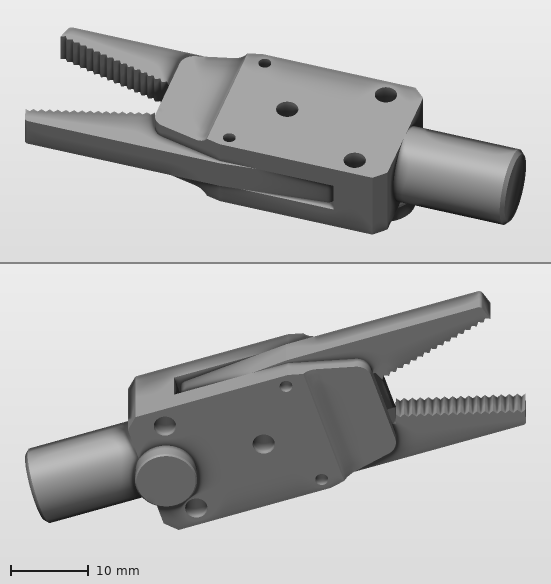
import cadquery as cq
import math


total_length = 64.0
housing_height = 10.0
housing_width = 18.0
housing_front_x = 16.9
housing_rear_x = 49.1
nose_width = 13.1
shoulder_x = 26.9
nose_corner_radius = 2.0
rear_corner_chamfer = 1.55
step_x = 24.95
step_depth = 0.95
step_radius = 2.0

slot_height = 4.15
slot_end_x = 42.3
block_front_x = 17.85
block_length = 20.5
block_width = 7.95

pivot_hole_diameter = 1.65
pivot_hole_x = 27.65
pivot_hole_y = 7.4
center_hole_diameter = 2.9
center_hole_x = 33.1
mount_hole_diameter = 2.9
mount_hole_x = 44.35
mount_hole_y = 6.5

shank_diameter = housing_height
shank_chamfer = 0.5

jaw_span = 18.9
jaw_thickness = 4.0
jaw_inner_y = 4.1
jaw_end_x = 42.0
jaw_bend_x = 27.0
jaw_tail_angle = 5.3
first_tooth_y = 7.3
rack_angle = 15.5
tooth_count = 17
tooth_pitch = 1.045
tooth_depth = 0.45
rack_end_x = 16.6
tip_radius = 0.5
tail_radius = 0.95
jaw_hole_diameter = 2.05
jaw_hole_x = 26.75
jaw_hole_y = 6.5

foot_diameter = 8.0
foot_height = 2.5
foot_x = 46.35
foot_chamfer = 0.2

half_height = housing_height / 2
half_width = housing_width / 2
half_span = jaw_span / 2
jaw_clearance = slot_height - jaw_thickness


def make_housing_block():
    """Full-height housing block: tapered rounded nose, chamfered rear corners."""
    half_nose = nose_width / 2
    block = (
        cq.Workplane("XY")
        .workplane(offset=-half_height)
        .polyline(
            [
                (housing_front_x, -half_nose),
                (shoulder_x, -half_width),
                (housing_rear_x, -half_width),
                (housing_rear_x, half_width),
                (shoulder_x, half_width),
                (housing_front_x, half_nose),
            ]
        )
        .close()
        .extrude(housing_height)
    )
    block = block.edges("|Z and <X").fillet(nose_corner_radius)
    return block.edges("|Z and >X").chamfer(rear_corner_chamfer)


def make_nose_step():
    """Material removed above the nose, ending in a hollow curve up to the top face."""
    floor_z = half_height - step_depth
    run = math.sqrt(step_radius**2 - (step_radius - step_depth) ** 2)
    curve_x = step_x - run
    half_angle = math.asin(run / step_radius) / 2
    middle = (
        curve_x + step_radius * math.sin(half_angle),
        floor_z + step_radius * (1 - math.cos(half_angle)),
    )
    return (
        cq.Workplane("XZ")
        .moveTo(housing_front_x, floor_z)
        .lineTo(curve_x, floor_z)
        .threePointArc(middle, (step_x, half_height))
        .lineTo(housing_front_x, half_height)
        .close()
        .extrude(half_width, both=True)
    )


def make_jaw_slot():
    """Slot open to the front and both sides, around the block between the jaws."""
    slot = cq.Workplane("XY").box(
        slot_end_x - housing_front_x, housing_width, slot_height, centered=(False, True, True)
    )
    block = cq.Workplane("XY").box(block_length, block_width, slot_height, centered=(False, True, True))
    return slot.translate((housing_front_x, 0, 0)).cut(block.translate((block_front_x, 0, 0)))


def make_holes(diameter, points):
    """Cylinders as tall as the housing, for cutting vertical through holes."""
    return (
        cq.Workplane("XY")
        .workplane(offset=-half_height)
        .pushPoints(points)
        .circle(diameter / 2)
        .extrude(housing_height)
    )


def make_shank():
    """Round shank behind the housing, chamfered at its free end."""
    return (
        cq.Workplane("YZ")
        .workplane(offset=housing_rear_x)
        .circle(shank_diameter / 2)
        .extrude(total_length - housing_rear_x)
        .faces(">X")
        .chamfer(shank_chamfer)
    )


def make_housing():
    top_step = make_nose_step()
    pivot_points = [(pivot_hole_x, side * pivot_hole_y) for side in (1, -1)]
    mount_points = [(mount_hole_x, side * mount_hole_y) for side in (1, -1)]
    return (
        make_housing_block()
        .cut(top_step)
        .cut(top_step.mirror("XY"))
        .cut(make_jaw_slot())
        .cut(make_holes(pivot_hole_diameter, pivot_points))
        .cut(make_holes(center_hole_diameter, [(center_hole_x, 0)]))
        .cut(make_holes(mount_hole_diameter, mount_points))
        .union(make_shank())
    )


def rack_points():
    """Tooth tips and the valleys between them, from the jaw tip inward."""
    angle = math.radians(rack_angle)
    points = []
    for index in range(tooth_count):
        along = index * tooth_pitch
        points.append((along * math.cos(angle), first_tooth_y - along * math.sin(angle)))
        if index < tooth_count - 1:
            along += tooth_pitch / 2
            points.append(
                (
                    along * math.cos(angle) + tooth_depth * math.sin(angle),
                    first_tooth_y - along * math.sin(angle) + tooth_depth * math.cos(angle),
                )
            )
    return points


def make_jaw(side):
    """Jaw on the given side of Y = 0; the +Y jaw rests on the slot floor, the -Y jaw against its roof."""
    tip_x = (half_span - first_tooth_y) * math.tan(math.radians(rack_angle))
    tail_drop = (jaw_end_x - jaw_bend_x) * math.tan(math.radians(jaw_tail_angle))
    jaw = (
        cq.Workplane("XY")
        .polyline(
            rack_points()
            + [
                (rack_end_x, jaw_inner_y),
                (jaw_end_x, jaw_inner_y),
                (jaw_end_x, half_span - tail_drop),
                (jaw_bend_x, half_span),
                (tip_x, half_span),
            ]
        )
        .close()
        .extrude(jaw_thickness / 2, both=True)
    )
    tip_corner = cq.selectors.NearestToPointSelector((tip_x, half_span, 0))
    tail_corner = cq.selectors.NearestToPointSelector((jaw_end_x, half_span - tail_drop, 0))
    jaw = jaw.edges("|Z").edges(tip_corner).fillet(tip_radius)
    jaw = jaw.edges("|Z").edges(tail_corner).fillet(tail_radius)
    jaw = jaw.cut(make_holes(jaw_hole_diameter, [(jaw_hole_x, jaw_hole_y)]))
    if side < 0:
        jaw = jaw.mirror("XZ")
    return jaw.translate((0, 0, -side * jaw_clearance / 2))


def make_foot():
    """Round foot under the rear of the housing, chamfered on both rims."""
    return (
        cq.Workplane("XY")
        .workplane(offset=-half_height - foot_height)
        .center(foot_x, 0)
        .circle(foot_diameter / 2)
        .extrude(foot_height)
        .edges()
        .chamfer(foot_chamfer)
    )


housing = make_housing()
jaws = [make_jaw(side) for side in (1, -1)]
foot = make_foot()

result = cq.Compound.makeCompound([housing.val(), *[jaw.val() for jaw in jaws], foot.val()])